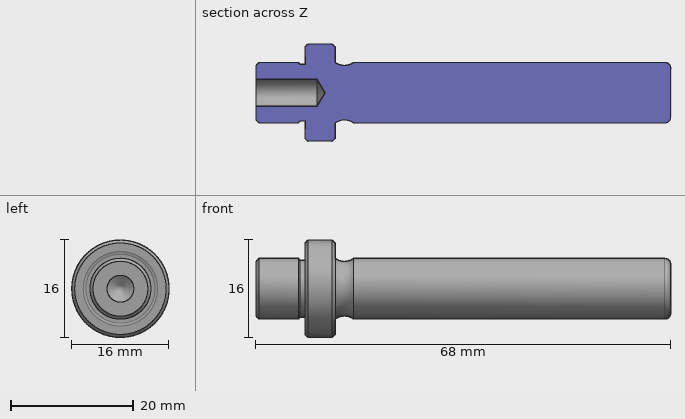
import cadquery as cq
import math

total_length = 68.0
spigot_length = 8.0
collar_width = 5.0
neck_width = 3.0

pin_diameter = 10.0
collar_diameter = 16.0
hole_diameter = 4.4

edge_chamfer = 0.5
shank_end_radius = 1.0

relief_width = 1.0
relief_depth = 0.3
relief_run_in = 0.2
relief_face_depth = 0.1
relief_face_radius = 5.65
relief_face_outer_radius = 6.1

neck_depth = 0.5

hole_depth = 10.0
drill_point_angle = 118.0

pin_radius = pin_diameter / 2
collar_radius = collar_diameter / 2
hole_radius = hole_diameter / 2
collar_start = spigot_length
collar_end = collar_start + collar_width
neck_end = collar_end + neck_width


def make_turned_body():
    """Revolve the outer half profile, drawn as (axial position, radius), about X."""
    relief_start = collar_start - relief_width
    relief_radius = pin_radius - relief_depth
    relief_floor = collar_start + relief_face_depth

    profile = (
        cq.Workplane("XY")
        .moveTo(0, 0)
        .lineTo(0, pin_radius - edge_chamfer)
        .lineTo(edge_chamfer, pin_radius)
        .lineTo(relief_start, pin_radius)
        .lineTo(relief_start + relief_run_in, relief_radius)
        .lineTo(relief_floor, relief_radius)
        .lineTo(relief_floor, relief_face_radius)
        .lineTo(collar_start, relief_face_outer_radius)
        .lineTo(collar_start, collar_radius - edge_chamfer)
        .lineTo(collar_start + edge_chamfer, collar_radius)
        .lineTo(collar_end - edge_chamfer, collar_radius)
        .lineTo(collar_end, collar_radius - edge_chamfer)
        .lineTo(collar_end, pin_radius)
        .threePointArc(
            ((collar_end + neck_end) / 2, pin_radius - neck_depth),
            (neck_end, pin_radius),
        )
        .lineTo(total_length - shank_end_radius, pin_radius)
        .radiusArc((total_length, pin_radius - shank_end_radius), shank_end_radius)
        .lineTo(total_length, 0)
        .close()
    )
    return profile.revolve(360, (0, 0, 0), (1, 0, 0))


def make_drilled_hole():
    """Blind hole on the axis, ending in a conical drill point."""
    point_length = hole_radius / math.tan(math.radians(drill_point_angle / 2))
    profile = (
        cq.Workplane("XY")
        .moveTo(0, 0)
        .lineTo(0, hole_radius)
        .lineTo(hole_depth, hole_radius)
        .lineTo(hole_depth + point_length, 0)
        .close()
    )
    return profile.revolve(360, (0, 0, 0), (1, 0, 0))


result = make_turned_body().cut(make_drilled_hole())